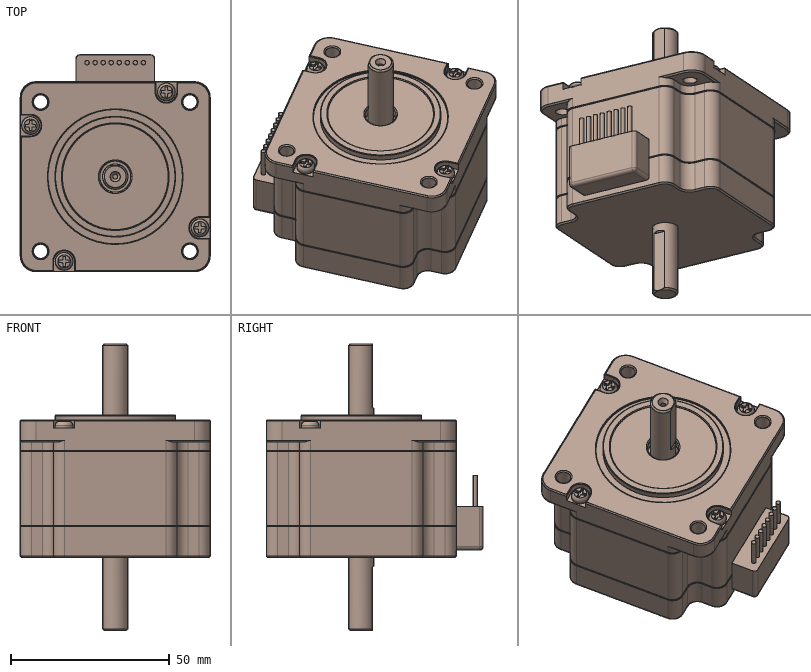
import cadquery as cq
import math


body_width = 60.0
body_length = 43.5
flange_thickness = 7.0
flange_corner_radius = 5.0
flange_top_chamfer = 0.4
edge_chamfer = 0.5
notch_wall = 19.5
notch_radius = 3.5
front_joint_depth = 9.8
rear_joint_depth = 33.5
joint_groove_depth = 0.15
joint_groove_width = 0.3

pilot_radius = 19.05
pilot_height = 1.5
pilot_chamfer = 0.2
ring_recess_radius = 21.2
ring_recess_depth = 0.5
ring_recess_chamfer = 0.2
dish_radius = 16.7
dish_depth = 0.3
dish_chamfer = 0.3
bore_radius = 4.9
bore_depth = 3.0
bore_chamfer = 0.4

hole_offset = 23.57
hole_diameter = 4.5
hole_chamfer = 0.4

screw_along = 16.15
screw_across = 26.75
pocket_radius = 3.3
pocket_depth = 2.5
pocket_chamfer = 0.25
head_radius = 2.8
head_top_radius = 2.0
head_side_height = 0.75
head_height = 2.0
head_dome_bulge = 0.2
cross_length = 3.1
cross_width = 0.8
cross_corner_radius = 0.4
cross_depth = 0.8

shaft_radius = 4.0
shaft_front_length = 24.0
shaft_length = 90.5
shaft_chamfer = 0.55
flat_offset = 3.5
flat_length = 20.0
flat_runout = 0.5
center_hole_radius = 1.6
center_hole_pilot_radius = 0.75
center_hole_cone_angle = 60.0
center_hole_pilot_depth = 2.0

connector_width = 24.8
connector_reach = 8.5
connector_top = -27.3
connector_bottom = -41.1
connector_fillet = 1.2
pin_count = 8
pin_pitch = 2.54
pin_radius = 0.7
pin_length = 9.8
pin_offset = 36.0

half_width = body_width / 2
shaft_bottom = shaft_front_length - shaft_length
corner_signs = [(sx, sy) for sx in (-1, 1) for sy in (-1, 1)]


def cylinder(radius, bottom, top):
    return cq.Workplane("XY").workplane(offset=bottom).circle(radius).extrude(top - bottom)


def cone(bottom_radius, top_radius, bottom, top):
    """Truncated cone about the Z axis."""
    solid = cq.Solid.makeCone(bottom_radius, top_radius, top - bottom, cq.Vector(0, 0, bottom))
    return cq.Workplane(solid)


def chamfered_bore(radius, chamfer, bottom, top):
    """Cutter for a round recess whose mouth at `top` is chamfered."""
    mouth = cone(radius, radius + chamfer, top - chamfer, top)
    return cylinder(radius, bottom, top).union(mouth)


def notched_square(inset, bottom, height):
    """Square column with a rounded notch in each corner, its outline moved inward by `inset`."""
    wall = notch_wall - inset
    half = half_width - inset
    depth = half - wall
    column = cq.Workplane("XY").workplane(offset=bottom).rect(2 * half, 2 * half).extrude(height)
    for sx, sy in corner_signs:
        notch = (
            cq.Workplane("XY")
            .workplane(offset=bottom)
            .center(sx * (wall + depth), sy * (wall + depth))
            .rect(2 * depth, 2 * depth)
            .extrude(height)
        )
        column = column.cut(notch)
    return column.edges("|Z").fillet(notch_radius)


def make_body():
    flange = (
        cq.Workplane("XY")
        .rect(body_width, body_width)
        .extrude(-flange_thickness)
        .edges("|Z")
        .fillet(flange_corner_radius)
        .faces(">Z")
        .chamfer(flange_top_chamfer)
        .faces("<Z")
        .chamfer(edge_chamfer)
    )
    column_height = body_length - edge_chamfer
    column = notched_square(0, -body_length, column_height).faces("<Z").chamfer(edge_chamfer)
    for joint_depth in (front_joint_depth, rear_joint_depth):
        groove_bottom = -joint_depth - joint_groove_width / 2
        shell = notched_square(0, groove_bottom, joint_groove_width)
        core = notched_square(joint_groove_depth, groove_bottom, joint_groove_width)
        column = column.cut(shell.cut(core))
    return flange.union(column)


def add_pilot(body):
    recess = chamfered_bore(ring_recess_radius, ring_recess_chamfer, -ring_recess_depth, 0)
    pilot = cylinder(pilot_radius, -ring_recess_depth, pilot_height)
    pilot = pilot.faces(">Z").chamfer(pilot_chamfer)
    dish_floor = pilot_height - dish_depth
    dish = chamfered_bore(dish_radius, dish_chamfer, dish_floor, pilot_height)
    bore = chamfered_bore(bore_radius, bore_chamfer, dish_floor - bore_depth, dish_floor)
    return body.cut(recess).union(pilot).cut(dish).cut(bore)


def cut_mounting_holes(body):
    hole = chamfered_bore(hole_diameter / 2, hole_chamfer, -flange_thickness, 0)
    for sx, sy in corner_signs:
        body = body.cut(hole.translate((sx * hole_offset, sy * hole_offset, 0)))
    return body


def slot_cutter(radius, bottom, height):
    """Slot with a round inner end at the screw, open toward +Y past the flange side."""
    round_end = cylinder(radius, bottom, bottom + height)
    reach = half_width - screw_across + radius
    straight = (
        cq.Workplane("XY")
        .workplane(offset=bottom)
        .center(0, reach / 2)
        .rect(2 * radius, reach)
        .extrude(height)
    )
    return round_end.union(straight)


def make_screw_pocket():
    pocket = slot_cutter(pocket_radius, -pocket_depth, pocket_depth + pocket_chamfer)
    mouth = slot_cutter(pocket_radius + pocket_chamfer, -pocket_chamfer, 2 * pocket_chamfer)
    return pocket.union(mouth.faces("<Z").chamfer(pocket_chamfer))


def make_cross_recess():
    """Cross-shaped driver recess below Z = 0, with rounded inner corners."""
    bar = cq.Workplane("XY").rect(cross_length, cross_width).extrude(-cross_depth)
    cross = bar.union(bar.rotate((0, 0, 0), (0, 0, 1), 90))
    inner_corner_box = cq.selectors.BoxSelector(
        (-cross_width, -cross_width, -cross_depth), (cross_width, cross_width, 0)
    )
    return cross.edges("|Z").edges(inner_corner_box).fillet(cross_corner_radius)


def make_screw_head():
    side_top = head_side_height - pocket_depth
    head_top = head_height - pocket_depth
    dome_mid_radius = (head_radius + head_top_radius) / 2 + head_dome_bulge
    dome_mid_height = (side_top + head_top) / 2
    head = (
        cq.Workplane("XZ")
        .moveTo(0, -pocket_depth)
        .lineTo(head_radius, -pocket_depth)
        .lineTo(head_radius, side_top)
        .threePointArc((dome_mid_radius, dome_mid_height), (head_top_radius, head_top))
        .lineTo(0, head_top)
        .close()
        .revolve(360, (0, 0, 0), (0, 1, 0))
    )
    return head.cut(make_cross_recess().translate((0, 0, head_top)))


def add_screws(body):
    pocket = make_screw_pocket()
    head = make_screw_head()
    place = (screw_along, screw_across, 0)
    for quarter_turn in range(4):
        turn = ((0, 0, 0), (0, 0, 1), 90 * quarter_turn)
        body = body.cut(pocket.translate(place).rotate(*turn))
        body = body.union(head.translate(place).rotate(*turn))
    return body


def flat_cutter(end, direction):
    """Flat on the +Y side of the shaft, from `end` along Z in `direction`, with a sloped run-out."""
    run_out = shaft_radius - flat_offset + flat_runout
    flat_end = end + direction * flat_length
    return (
        cq.Workplane("YZ")
        .moveTo(flat_offset, end)
        .lineTo(flat_offset, flat_end)
        .lineTo(flat_offset + run_out, flat_end + direction * run_out)
        .lineTo(flat_offset + run_out, end)
        .close()
        .extrude(shaft_radius, both=True)
    )


def make_shaft():
    shaft = cylinder(shaft_radius, shaft_bottom, shaft_front_length)
    shaft = shaft.faces("<Z or >Z").chamfer(shaft_chamfer)
    shaft = shaft.cut(flat_cutter(shaft_front_length, -1)).cut(flat_cutter(shaft_bottom, 1))
    half_angle = math.radians(center_hole_cone_angle / 2)
    cone_depth = (center_hole_radius - center_hole_pilot_radius) / math.tan(half_angle)
    cone_bottom = shaft_front_length - cone_depth
    countersink = cone(center_hole_pilot_radius, center_hole_radius, cone_bottom, shaft_front_length)
    pilot = cylinder(center_hole_pilot_radius, cone_bottom - center_hole_pilot_depth, cone_bottom)
    return shaft.cut(countersink).cut(pilot)


def make_connector():
    connector = (
        cq.Workplane("XY")
        .workplane(offset=connector_bottom)
        .center(0, half_width + connector_reach / 2)
        .rect(connector_width, connector_reach)
        .extrude(connector_top - connector_bottom)
        .edges("(|Z and >Y) or (<Z and (not <Y))")
        .fillet(connector_fillet)
    )
    for index in range(pin_count):
        pin_x = (index - (pin_count - 1) / 2) * pin_pitch
        pin = cylinder(pin_radius, connector_top, connector_top + pin_length)
        connector = connector.union(pin.translate((pin_x, pin_offset, 0)))
    return connector


body = add_pilot(make_body())
body = cut_mounting_holes(body)
body = add_screws(body)
result = body.union(make_shaft()).union(make_connector())